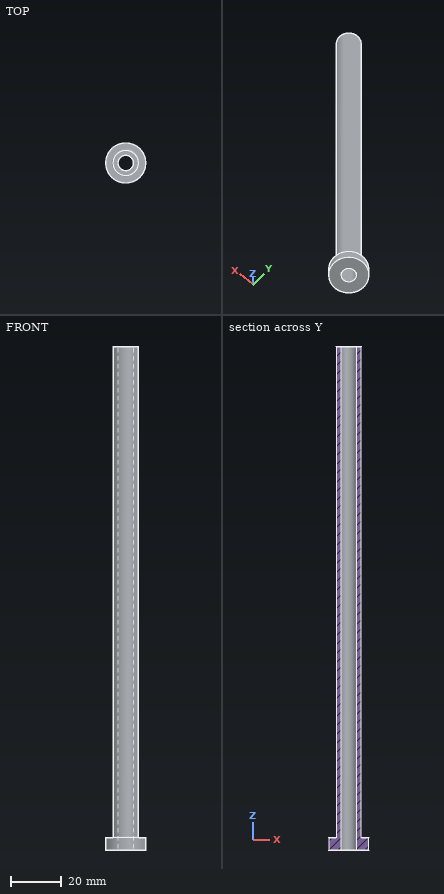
import cadquery as cq

total_length = 200.0
head_diameter = 16.0
head_height = 5.0
shaft_diameter = 10.0
bore_diameter = 6.0
neck_fillet = 0.5


def cylinder(diameter, height):
    """Cylinder on the Z axis, rising from the base plane."""
    return cq.Workplane("XY").circle(diameter / 2).extrude(height)


sleeve = cylinder(head_diameter, head_height).union(cylinder(shaft_diameter, total_length))

head_top = sleeve.faces(">Z[-2]")
sleeve = head_top.edges(cq.selectors.RadiusNthSelector(0)).fillet(neck_fillet)

result = sleeve.cut(cylinder(bore_diameter, total_length))